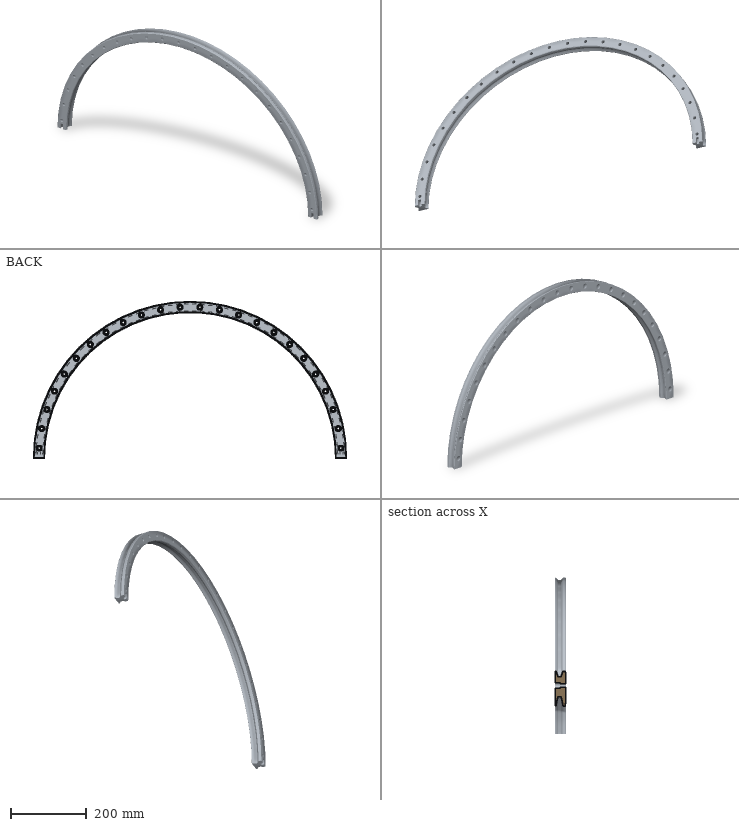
import cadquery as cq
import math

outer_radius = 414.0
rail_width = 28.0
rail_height = 28.0
mid_radius = outer_radius - rail_width / 2
front_y = -rail_height / 2
back_y = rail_height / 2

front_chamfer = 1.5
back_chamfer = 0.7

groove_center_y = 2.65
mouth_half_height = 9.0
step_half_height = 6.95
floor_half_height = 3.5
step_depth = 1.8
groove_depth = 5.4

bolt_count = 24
bolt_pitch = math.pi / bolt_count
bolt_diameter = 9.0
counterbore_diameter = 14.0
counterbore_depth = 12.5

slot_width = 7.9
slot_length = 16.0
slot_depth = 8.0


def flank_points(side):
    """Section points along one flank, front to back; side is +1 for the outer flank, -1 for the inner."""
    edge = rail_width / 2
    groove_rows = [
        (-mouth_half_height, 0),
        (-step_half_height, step_depth),
        (-floor_half_height, groove_depth),
        (floor_half_height, groove_depth),
        (step_half_height, step_depth),
        (mouth_half_height, 0),
    ]
    flank = [(edge - front_chamfer, front_y), (edge, front_y + front_chamfer)]
    flank += [(edge - depth, groove_center_y + height) for height, depth in groove_rows]
    flank += [(edge, back_y - back_chamfer), (edge - back_chamfer, back_y)]
    return [(mid_radius + side * offset, y) for offset, y in flank]


def make_rail():
    """Rail section revolved half a turn about the Y axis, through +Z."""
    section = flank_points(1) + flank_points(-1)[::-1]
    return cq.Workplane("XY").polyline(section).close().revolve(180, (0, 0, 0), (0, -1, 0))


def bolt_cutter(angle):
    """Through hole with a counterbore sunk from the back face."""
    x = mid_radius * math.cos(angle)
    z = mid_radius * math.sin(angle)
    back_face = cq.Workplane(cq.Plane(origin=(x, back_y, z), xDir=(1, 0, 0), normal=(0, -1, 0)))
    hole = back_face.circle(bolt_diameter / 2).extrude(rail_height)
    counterbore = back_face.circle(counterbore_diameter / 2).extrude(counterbore_depth)
    return hole.union(counterbore).val()


def slot_cutter(side):
    """Blind slot in the front face, open at the end of the rail."""
    slot = cq.Workplane("XY").box(slot_width, slot_depth, slot_length, centered=(True, False, False))
    return slot.translate((side * mid_radius, front_y, 0)).val()


cutters = [bolt_cutter((index + 0.5) * bolt_pitch) for index in range(bolt_count)]
cutters += [slot_cutter(side) for side in (-1, 1)]
result = make_rail().cut(cq.Workplane(cq.Compound.makeCompound(cutters)))